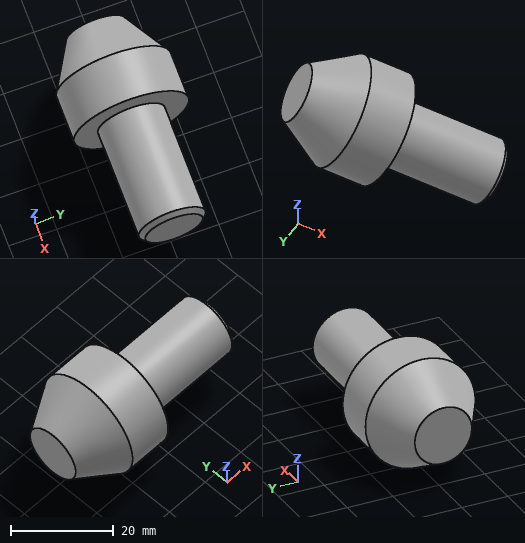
import cadquery as cq
import math

total_length = 44.0
head_diameter = 24.0
shank_diameter = 14.0
taper_length = 10.0
collar_length = 10.0
taper_angle = 30.0
end_chamfer = 1.0

head_radius = head_diameter / 2
shank_radius = shank_diameter / 2
tip_radius = head_radius - taper_length * math.tan(math.radians(taper_angle))
shoulder_x = taper_length + collar_length

half_profile = (
    cq.Workplane("XY")
    .moveTo(0, 0)
    .lineTo(0, tip_radius)
    .lineTo(taper_length, head_radius)
    .lineTo(shoulder_x, head_radius)
    .lineTo(shoulder_x, shank_radius)
    .lineTo(total_length - end_chamfer, shank_radius)
    .lineTo(total_length, shank_radius - end_chamfer)
    .lineTo(total_length, 0)
    .close()
)

result = half_profile.revolve(360, (0, 0, 0), (1, 0, 0))